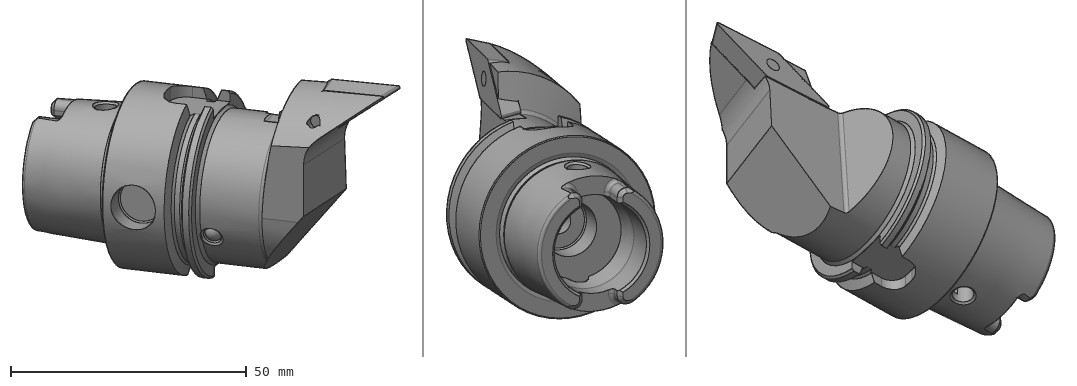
import cadquery as cq
import math


SHANK_LENGTH = 20.0
SHANK_END_RADIUS = 14.2
SHANK_BIG_RADIUS = 15.2
SHANK_END_FILLET = 0.7
RELIEF_RADIUS = 14.8
RELIEF_LENGTH = 1.2
RELIEF_FLARE = 0.7
FACE_RECESS_INNER_RADIUS = 15.35
TAPER_BACK = 2.0
FACE_RECESS_RADIUS = 16.2
FACE_RECESS_DEPTH = 0.2

BORE_RADIUS = 10.5
BORE_CHAMFER = 0.55
BORE_STRAIGHT_DEPTH = 8.0
BORE_CONE_DEPTH = 13.7
BORE_LIP_RADIUS = 9.75
UNDERCUT_RADIUS = 12.4
BORE_DEPTH = 18.4
SOCKET_RADIUS = 6.0
SOCKET_DEPTH = 6.4
SOCKET_CHAMFER = 0.3
COOLANT_RADIUS = 2.55

SLOT_HALF_WIDTH = 4.0
SLOT_EDGE_RADIUS = 1.9
SLOT_TOP_HEIGHT = 12.7
SLOT_CORNER_RADIUS = 0.95
UPPER_SLOT_LENGTH = 6.15
LOWER_SLOT_LENGTH = 3.6
CROSS_HOLE_X = -6.0
CROSS_HOLE_RADIUS = 2.3
CROSS_HOLE_CHAMFER = 0.5

FLANGE_RADIUS = 40.0 / 2
FLANGE_EDGE_CHAMFER = 0.2
FLANGE_LAND_END = 14.0
GROOVE_RADIUS = 17.3
GROOVE_EDGE_RADIUS = 17.7
GROOVE_START = 14.8
GROOVE_END = 17.1
GROOVE_FLOOR_INSET = 0.55
COLLAR_START = 18.05
COLLAR_END = 20.0
COLLAR_CHAMFER = 0.5
KEY_FLOOR = 16.85
KEY_CORNER_RADIUS = 3.7
UPPER_KEY_START = 7.8
UPPER_KEY_HALF_WIDTH = 5.4
LOWER_KEY_START = 8.5
LOWER_KEY_HALF_WIDTH = 4.8
CHIP_HOLE_X = 7.0
CHIP_HOLE_RADIUS = 10.0 / 2
CHIP_HOLE_DEPTH = 5.3
CHIP_HOLE_FLOOR_CHAMFER = 0.3

NECK_RADIUS = 16.5
NECK_START = 20.8
NECK_ROOT_RADIUS = 17.1
NECK_END = 34.0

HEAD_SIDE = 16.9
HEAD_BACK_FILLET = 1.1
HEAD_BACK_X = 34.8
HEAD_BACK_SLOPE = 0.29
HEAD_ENVELOPE_RADIUS = 31.95
HEAD_END = 71.9
CROWN_RADIUS = 22.7
CROWN_Y = 0.8
CROWN_Z = 2.4
CROWN_X = 37.0
CROWN_RISE = 0.067
FRONT_X = 46.75
FRONT_BOTTOM_Z = 1.5
HEEL_SLOPE = 50.4
NOSE_FILLET = 7.6
NOSE_CLEARANCE = 0.8
SIDE_RELIEF = 0.15

RAKE_Y = 5.8
RAKE_X_SLOPE = 0.07
RAKE_Z_SLOPE = 0.068
RAKE_WALL_X = 28.9
RAKE_WALL_TOP_X = 25.6
RAKE_WALL_TOP_Y = 16.4
RAKE_WALL_FILLET = 0.95

INSERT_PROUD = 0.28
INSERT_SIDE = 16.6
INSERT_ANGLE = 35.0
INSERT_TILT = 2.6
INSERT_CORNER_RADIUS = 0.4
INSERT_THICKNESS = 4.8
INSERT_CLEARANCE = 7.0
TIP_X = 59.9
OVERALL_HEIGHT = 47.0
TIP_Z = OVERALL_HEIGHT - FLANGE_RADIUS
CORNER_RELIEF_START = 29.7
CORNER_RELIEF_END = 36.75
CORNER_RELIEF_Z = 16.3
CORNER_RELIEF_FILLET = 0.95
CORNER_RELIEF_Y = -2.2
CORNER_RELIEF_HEIGHT = 1.6

SCREW_RADIUS = 1.6
SCREW_LENGTH = 12.0
SCREW_HOLE_DEPTH = 14.4
DRILL_POINT = 118.0

BALL_RADIUS = 2.0
BALL_X = 23.0
BALL_ANGLE = 22.3
BALL_DEPTH = 1.9
BALL_HOLE_DEPTH = 4.0
BALL_HOLE_CHAMFER = 0.55

FAR = 47.95


def revolved(points):
    """Solid of revolution about the X axis from (x, radius) points."""
    return cq.Workplane("XY").polyline(points).close().revolve(360, (0, 0, 0), (1, 0, 0))


def rod(radius, length, start, direction):
    """Cylinder from a start point along a direction."""
    return cq.Workplane(cq.Solid.makeCylinder(radius, length, start, direction))


def cone(radius, tip_radius, length, start, direction):
    """Cone from a start point along a direction."""
    return cq.Workplane(cq.Solid.makeCone(radius, tip_radius, length, start, direction))


def slanted_prism(points, direction):
    """Straight prism on a closed outline of 3D points, swept along any direction."""
    outline = cq.Wire.makePolygon(points, close=True)
    return cq.Workplane(cq.Solid.extrudeLinear(outline, [], direction))


def rake_y(x, z):
    """Y of the rake plane at a given X and Z."""
    return RAKE_Y - RAKE_X_SLOPE * x - RAKE_Z_SLOPE * z


def insert_frame():
    """Plane on the insert rake face: origin at the sharp tip, local X along the upper edge."""
    half_angle = math.radians(INSERT_ANGLE / 2)
    bisector = half_angle + math.radians(INSERT_TILT)
    sharp_x = TIP_X + INSERT_CORNER_RADIUS * (math.cos(bisector) / math.sin(half_angle) - 1)
    sharp_z = TIP_Z + INSERT_CORNER_RADIUS * (math.sin(bisector) / math.sin(half_angle) - 1)
    tilt = math.radians(INSERT_TILT)
    edge_x = -math.cos(tilt)
    edge_z = -math.sin(tilt)
    edge_y = -RAKE_X_SLOPE * edge_x - RAKE_Z_SLOPE * edge_z
    return cq.Plane(
        origin=(sharp_x, rake_y(sharp_x, sharp_z) + INSERT_PROUD, sharp_z),
        xDir=(edge_x, edge_y, edge_z),
        normal=(RAKE_X_SLOPE, 1, RAKE_Z_SLOPE),
    )


INSERT_PLANE = insert_frame()
INTO_SEAT = INSERT_PLANE.zDir * -1
LOWER_EDGE_X = INSERT_SIDE * math.cos(math.radians(INSERT_ANGLE))
LOWER_EDGE_Y = -INSERT_SIDE * math.sin(math.radians(INSERT_ANGLE))
INSERT_CENTER = INSERT_PLANE.toWorldCoords(((INSERT_SIDE + LOWER_EDGE_X) / 2, LOWER_EDGE_Y / 2))


def insert_blank():
    """Rhombic insert without its screw hole, narrowing away from the rake face."""
    corners = [
        (0, 0),
        (INSERT_SIDE, 0),
        (INSERT_SIDE + LOWER_EDGE_X, LOWER_EDGE_Y),
        (LOWER_EDGE_X, LOWER_EDGE_Y),
    ]
    inset = INSERT_THICKNESS * math.tan(math.radians(INSERT_CLEARANCE))
    rake_rhombus = cq.Workplane(INSERT_PLANE).polyline(corners).close()
    rake_outline = rake_rhombus.offset2D(-INSERT_CORNER_RADIUS).offset2D(INSERT_CORNER_RADIUS)
    seat_rhombus = cq.Workplane(INSERT_PLANE).workplane(offset=-INSERT_THICKNESS).polyline(corners).close()
    seat_outline = seat_rhombus.offset2D(-INSERT_CORNER_RADIUS - inset).offset2D(INSERT_CORNER_RADIUS)
    return cq.Workplane(cq.Solid.makeLoft([rake_outline.val(), seat_outline.val()], True))


def shank():
    taper_start = -SHANK_LENGTH
    turned = revolved([
        (taper_start, 0),
        (taper_start, SHANK_END_RADIUS),
        (-TAPER_BACK, SHANK_BIG_RADIUS),
        (-RELIEF_LENGTH, RELIEF_RADIUS),
        (-RELIEF_FLARE, RELIEF_RADIUS),
        (FACE_RECESS_DEPTH, FACE_RECESS_INNER_RADIUS),
        (FACE_RECESS_DEPTH, 0),
    ])
    return turned.faces("<X").edges().fillet(SHANK_END_FILLET)


def shank_bore():
    mouth = -SHANK_LENGTH
    floor = mouth + BORE_DEPTH
    socket_floor = floor + SOCKET_DEPTH
    drill_tip = socket_floor + COOLANT_RADIUS / math.tan(math.radians(DRILL_POINT / 2))
    return revolved([
        (mouth, 0),
        (mouth, BORE_RADIUS + BORE_CHAMFER),
        (mouth + BORE_CHAMFER, BORE_RADIUS),
        (mouth + BORE_STRAIGHT_DEPTH, BORE_RADIUS),
        (mouth + BORE_CONE_DEPTH, BORE_LIP_RADIUS),
        (mouth + BORE_CONE_DEPTH, UNDERCUT_RADIUS),
        (floor, UNDERCUT_RADIUS),
        (floor, SOCKET_RADIUS),
        (socket_floor - SOCKET_CHAMFER, SOCKET_RADIUS),
        (socket_floor, SOCKET_RADIUS - SOCKET_CHAMFER),
        (socket_floor, COOLANT_RADIUS),
        (drill_tip, 0),
    ])


def drive_slot(length):
    """Slot in the shank end at +Z, with rounded outer edges, flared mouth and rounded floor."""
    arc_middle = SLOT_EDGE_RADIUS * (1 - math.sqrt(0.5))
    edge_y = SLOT_HALF_WIDTH + SLOT_EDGE_RADIUS
    edge_z = SLOT_TOP_HEIGHT - SLOT_EDGE_RADIUS
    middle_y = SLOT_HALF_WIDTH + arc_middle
    middle_z = SLOT_TOP_HEIGHT - arc_middle

    def section(start):
        return (
            cq.Workplane("YZ", origin=(start, 0, 0))
            .moveTo(-SLOT_HALF_WIDTH, 0)
            .lineTo(SLOT_HALF_WIDTH, 0)
            .lineTo(SLOT_HALF_WIDTH, edge_z)
            .threePointArc((middle_y, middle_z), (edge_y, SLOT_TOP_HEIGHT))
            .lineTo(FAR, SLOT_TOP_HEIGHT)
            .lineTo(FAR, FAR)
            .lineTo(-FAR, FAR)
            .lineTo(-FAR, SLOT_TOP_HEIGHT)
            .lineTo(-edge_y, SLOT_TOP_HEIGHT)
            .threePointArc((-middle_y, middle_z), (-SLOT_HALF_WIDTH, edge_z))
            .close()
        )

    channel = section(-SHANK_LENGTH).extrude(length)
    channel = channel.faces(">X").edges("not(<Z)").fillet(SLOT_CORNER_RADIUS)
    mouth = section(-SHANK_LENGTH).offset2D(SLOT_CORNER_RADIUS).extrude(SLOT_CORNER_RADIUS, taper=45)
    return channel.union(mouth)


def drilled_shank():
    """Hollow shank with a hole through both walls along Z, chamfered outside."""
    hole = rod(CROSS_HOLE_RADIUS, 2 * FAR, cq.Vector(CROSS_HOLE_X, 0, -FAR), cq.Vector(0, 0, 1))
    drilled = shank().cut(shank_bore()).cut(hole)
    for side in (1, -1):
        rim = cq.NearestToPointSelector((CROSS_HOLE_X, 0, side * SHANK_BIG_RADIUS))
        drilled = drilled.edges("not %CIRCLE").edges(rim).chamfer(CROSS_HOLE_CHAMFER)
    return drilled


def flange():
    return revolved([
        (0, 0),
        (0, RELIEF_RADIUS),
        (FACE_RECESS_DEPTH, FACE_RECESS_INNER_RADIUS),
        (0, FACE_RECESS_RADIUS),
        (0, FLANGE_RADIUS - FLANGE_EDGE_CHAMFER),
        (FLANGE_EDGE_CHAMFER, FLANGE_RADIUS),
        (FLANGE_LAND_END, FLANGE_RADIUS),
        (GROOVE_START, GROOVE_EDGE_RADIUS),
        (GROOVE_START + GROOVE_FLOOR_INSET, GROOVE_RADIUS),
        (GROOVE_END - GROOVE_FLOOR_INSET, GROOVE_RADIUS),
        (GROOVE_END, GROOVE_EDGE_RADIUS),
        (COLLAR_START, FLANGE_RADIUS),
        (COLLAR_END - COLLAR_CHAMFER, FLANGE_RADIUS),
        (COLLAR_END, FLANGE_RADIUS - COLLAR_CHAMFER),
        (COLLAR_END, NECK_ROOT_RADIUS),
        (NECK_START, NECK_RADIUS),
        (NECK_END, NECK_RADIUS),
        (NECK_END, 0),
    ])


def key_slot(start, half_width):
    """Gripper key slot in the flange at +Z with a flat floor."""
    return (
        cq.Workplane("XY", origin=(0, 0, KEY_FLOOR))
        .moveTo(start, -half_width)
        .lineTo(COLLAR_END, -half_width)
        .lineTo(COLLAR_END, half_width)
        .lineTo(start, half_width)
        .close()
        .extrude(FAR)
        .edges("|Z and <X")
        .fillet(KEY_CORNER_RADIUS)
    )


def chip_hole():
    """Round pocket for a data chip in the -Y side of the flange."""
    floor = CHIP_HOLE_DEPTH - FLANGE_RADIUS
    start = cq.Vector(CHIP_HOLE_X, floor, 0)
    pocket = rod(CHIP_HOLE_RADIUS, FAR, start, cq.Vector(0, -1, 0))
    return pocket.faces(">Y").chamfer(CHIP_HOLE_FLOOR_CHAMFER)


def head_turning():
    """Head with a conical back that flares out of the neck."""
    flare = HEAD_ENVELOPE_RADIUS - NECK_RADIUS
    turned = revolved([
        (NECK_START, 0),
        (NECK_START, NECK_RADIUS),
        (HEAD_BACK_X, NECK_RADIUS),
        (HEAD_BACK_X + HEAD_BACK_SLOPE * flare, HEAD_ENVELOPE_RADIUS),
        (HEAD_END, HEAD_ENVELOPE_RADIUS),
        (HEAD_END, 0),
    ])
    corner = cq.NearestToPointSelector((HEAD_BACK_X, 0, 0))
    return turned.edges("%CIRCLE").edges(corner).fillet(HEAD_BACK_FILLET)


def head_envelope():
    """Round below the axis; above it a flat -Y side under the inclined round crown."""
    lower = rod(HEAD_SIDE, HEAD_END, cq.Vector(0, 0, 0), cq.Vector(1, 0, 0))
    upper = cq.Workplane("XY").box(HEAD_END, 2 * HEAD_SIDE, FAR, centered=(False, True, False))
    crown_start = cq.Vector(0, CROWN_Y, CROWN_Z - CROWN_RISE * CROWN_X)
    crown = rod(CROWN_RADIUS, 2 * HEAD_END, crown_start, cq.Vector(1, 0, CROWN_RISE))
    return lower.union(upper.intersect(crown))


def front_cut():
    """Everything in front of the heel, the front wall and the underside of the nose."""
    slope = math.tan(math.radians(INSERT_TILT + INSERT_ANGLE))
    corner_z = TIP_Z - (TIP_X - FRONT_X) * slope
    heel_x = FRONT_X - (FRONT_BOTTOM_Z + FAR) / math.tan(math.radians(HEEL_SLOPE))
    outline = [
        (heel_x, -FAR),
        (FRONT_X, FRONT_BOTTOM_Z),
        (FRONT_X, corner_z),
        (TIP_X + (FAR - TIP_Z) / slope, FAR),
        (2 * FAR, FAR),
        (2 * FAR, -FAR),
    ]
    shift = SIDE_RELIEF * FAR
    base = [cq.Vector(x - shift, -FAR, z) for x, z in outline]
    tool = slanted_prism(base, cq.Vector(2 * shift, 2 * FAR, 0))
    corner = cq.NearestToPointSelector((FRONT_X, 0, corner_z))
    return tool.edges(corner).fillet(NOSE_FILLET)


def rake_cut():
    """Everything beyond the rake plane, ending in a steep wall in the neck."""
    wall_y = rake_y(RAKE_WALL_X, 0)
    wall_slope = (RAKE_WALL_TOP_X - RAKE_WALL_X) / (RAKE_WALL_TOP_Y - wall_y)
    outline = [
        (RAKE_WALL_X, wall_y),
        (RAKE_WALL_X + wall_slope * (FAR - wall_y), FAR),
        (HEAD_END, FAR),
        (HEAD_END, rake_y(HEAD_END, 0)),
    ]
    shift = RAKE_Z_SLOPE * FAR
    base = [cq.Vector(x, y + shift, -FAR) for x, y in outline]
    tool = slanted_prism(base, cq.Vector(0, -2 * shift, 2 * FAR))
    corner = cq.NearestToPointSelector((RAKE_WALL_X, wall_y, 0))
    return tool.edges(corner).fillet(RAKE_WALL_FILLET)


def corner_relief():
    """Notch in the top of the neck that frees the back corner of the insert."""
    length = CORNER_RELIEF_END - CORNER_RELIEF_START
    notch = cq.Workplane("XY").box(length, FAR, CORNER_RELIEF_HEIGHT, centered=False)
    notch = notch.edges("|Y and <X and <Z").fillet(CORNER_RELIEF_FILLET)
    return notch.translate((CORNER_RELIEF_START, CORNER_RELIEF_Y, CORNER_RELIEF_Z))


def nose_clearance():
    """Clears the holder from under the lower edge of the insert."""
    return insert_blank().translate(INSERT_PLANE.xDir * -NOSE_CLEARANCE)


def screw_hole():
    """Blind hole with a drill point, square to the rake plane."""
    bottom = INSERT_CENTER + INTO_SEAT * SCREW_HOLE_DEPTH
    point = SCREW_RADIUS / math.tan(math.radians(DRILL_POINT / 2))
    hole = rod(SCREW_RADIUS, SCREW_HOLE_DEPTH, INSERT_CENTER, INTO_SEAT)
    return hole.union(cone(SCREW_RADIUS, 0, point, bottom, INTO_SEAT))


BALL_OUTWARD = cq.Vector(0, -math.cos(math.radians(BALL_ANGLE)), -math.sin(math.radians(BALL_ANGLE)))
BALL_HOLE_MOUTH = cq.Vector(BALL_X, 0, 0) + BALL_OUTWARD * NECK_RADIUS


def ball_hole():
    """Chamfered radial hole in the neck."""
    inward = BALL_OUTWARD * -1
    hole = rod(BALL_RADIUS, BALL_HOLE_DEPTH, BALL_HOLE_MOUTH, inward)
    mouth = cone(BALL_RADIUS + BALL_HOLE_CHAMFER, BALL_RADIUS, BALL_HOLE_CHAMFER, BALL_HOLE_MOUTH, inward)
    return hole.union(mouth)


def make_holder():
    head = head_turning().intersect(head_envelope())
    body = drilled_shank().union(flange()).union(head)
    body = body.cut(front_cut()).cut(rake_cut()).cut(shank_bore())
    upper_slot = drive_slot(UPPER_SLOT_LENGTH)
    lower_slot = drive_slot(LOWER_SLOT_LENGTH).mirror("XY")
    body = body.cut(upper_slot).cut(lower_slot)
    upper_key = key_slot(UPPER_KEY_START, UPPER_KEY_HALF_WIDTH)
    lower_key = key_slot(LOWER_KEY_START, LOWER_KEY_HALF_WIDTH).mirror("XY")
    body = body.cut(upper_key).cut(lower_key).cut(chip_hole())
    body = body.cut(corner_relief())
    body = body.cut(insert_blank()).cut(nose_clearance())
    return body.cut(screw_hole()).cut(ball_hole())


def make_insert():
    return insert_blank().cut(screw_hole())


def make_screw():
    return rod(SCREW_RADIUS, SCREW_LENGTH, INSERT_CENTER, INTO_SEAT)


def make_ball():
    center = BALL_HOLE_MOUTH - BALL_OUTWARD * BALL_DEPTH
    return cq.Workplane("XY").sphere(BALL_RADIUS).translate(center)


holder = make_holder()
cutting_insert = make_insert()
insert_screw = make_screw()
ball_plug = make_ball()

result = cq.Compound.makeCompound([
    holder.val(),
    cutting_insert.val(),
    insert_screw.val(),
    ball_plug.val(),
])